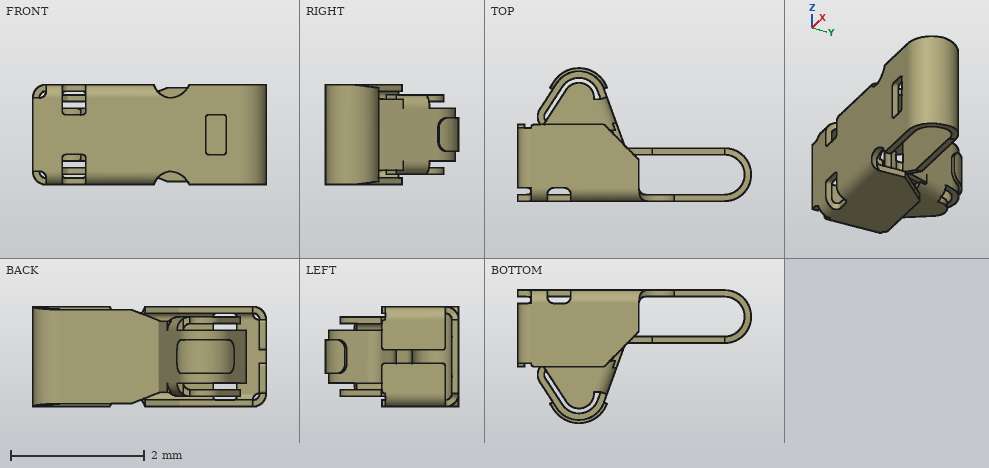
import cadquery as cq
import math

THICKNESS = 0.1
INNER_BEND = 0.098
OUTER_BEND = INNER_BEND + THICKNESS
SMALL_CORNER = 0.05
OVERCUT = 0.035

LENGTH = 3.5
HEIGHT = 2.0
HALF_WIDTH = 1.5 / 2
BEND_START = HALF_WIDTH - OUTER_BEND

WALL_HEIGHT = 1.15
WALL_END = 1.815
WALL_END_HEIGHT = 0.623
WALL_TOP_END = 1.295
TAB_HALF_GAP = 0.1
TAB_CORNER = 0.045
TAB_RELIEF_DEPTH = 0.052

SLOT_START = 0.445
SLOT_END = 0.795
SLOT_INNER = 0.298
WINDOW_START = 2.595
WINDOW_END = 2.9
WINDOW_HALF_WIDTH = 0.3
NOTCH_BOTTOM = 2.048
NOTCH_END = 2.345
NOTCH_RADIUS = 0.322
NOTCH_BEND_POINT = (1.875, 0.645)

LOOP_RADIUS = 0.4
LOOP_CENTER_X = LENGTH - LOOP_RADIUS
STRAP_HALF_WIDTH = 0.705
TAPER_START = 2.015
TAPER_SLOPE = 0.4
ARM_ROOT_HALF_WIDTH = 0.532
ARM_ROOT_TOP = 1.17
TAPER_END = TAPER_START - (STRAP_HALF_WIDTH - ARM_ROOT_HALF_WIDTH) / TAPER_SLOPE

SPRING_HALF_WIDTH = 0.395
ROOT_INNER_BEND = 0.025
ARCH_RADIUS = 0.4
ARM_TILT = 20.0
LEG_TILT = 33.0
LEG_LENGTH = 0.465
TAIL_TILT = 38.0
TAIL_LENGTH = 0.17
HOOK_TURN = 70.0
HOOK_TIP = 0.063

PAD_THICKNESS = 0.05
PAD_HALF_WIDTH = 0.252
PAD_LEG_LENGTH = 0.11
PAD_CORNER = 0.15

EAR_INNER = SPRING_HALF_WIDTH + INNER_BEND
EAR_RADIUS = 0.228
EAR_TOP_SHOULDER = 1.53
EAR_LEFT_CORNER_Y = 1.162
EAR_BOTTOM = 0.91
EAR_EDGE_TILT = 29.0
EAR_BEND_BOTTOM = 1.065
EAR_BOTTOM_CORNER = 0.085

ARCH_X = 0.917
ARCH_Y = HEIGHT - PAD_THICKNESS - ARCH_RADIUS

MIDDLE_LOOP = LOOP_RADIUS - THICKNESS / 2
MIDDLE_ARCH = ARCH_RADIUS - THICKNESS / 2
MIDDLE_BEND = INNER_BEND + THICKNESS / 2
MIDDLE_ROOT = ROOT_INNER_BEND + THICKNESS / 2
STRAP_Y = 2 * LOOP_RADIUS - THICKNESS / 2

ROOT_Y = STRAP_Y + MIDDLE_ROOT
TILT = math.radians(ARM_TILT)
CENTER_OFFSET = MIDDLE_ARCH + MIDDLE_ROOT
ARM_LENGTH = (ARCH_Y - ROOT_Y + CENTER_OFFSET * math.sin(TILT)) / math.cos(TILT)
ROOT_X = ARCH_X + CENTER_OFFSET * math.cos(TILT) + ARM_LENGTH * math.sin(TILT)
ARM_HEADING = 90 + ARM_TILT
ROOT_STEP = (MIDDLE_ROOT, ARM_HEADING - 180)


def polar(center, radius, degrees):
    angle = math.radians(degrees)
    return (center[0] + radius * math.cos(angle), center[1] + radius * math.sin(angle))


def sheet_strip(start, heading, steps, thickness, half_width, start_corner=0, end_corner=0):
    """Bent strip whose middle line is walked step by step in the XY plane.

    Each step is (length,) for a straight or (radius, turn) for an arc; a positive turn is to the left.
    The corners at either end of the strip can be rounded.
    """
    point = start
    left = [polar(point, thickness / 2, heading + 90)]
    right = [polar(point, thickness / 2, heading - 90)]
    arcs = []
    for step in steps:
        if len(step) == 1:
            point = polar(point, step[0], heading)
            arcs.append(None)
        else:
            radius, turn = step
            side = math.copysign(90, turn)
            center = polar(point, radius, heading + side)
            out = heading - side + turn / 2
            inner = polar(center, radius - thickness / 2, out)
            outer = polar(center, radius + thickness / 2, out)
            arcs.append((inner, outer) if turn > 0 else (outer, inner))
            point = polar(center, radius, heading - side + turn)
            heading += turn
        left.append(polar(point, thickness / 2, heading + 90))
        right.append(polar(point, thickness / 2, heading - 90))

    outline = cq.Workplane("XY").workplane(offset=-half_width).moveTo(*left[0])
    for arc, end in zip(arcs, left[1:]):
        outline = outline.threePointArc(arc[0], end) if arc else outline.lineTo(*end)
    outline = outline.lineTo(*right[-1])
    for arc, end in zip(reversed(arcs), reversed(right[:-1])):
        outline = outline.threePointArc(arc[1], end) if arc else outline.lineTo(*end)
    strip = outline.close().extrude(2 * half_width)

    for end, corner in ((start, start_corner), (point, end_corner)):
        for z in (-half_width, half_width):
            if corner > 0:
                strip = strip.edges(cq.selectors.NearestToPointSelector((*end, z))).fillet(corner)
    return strip


def block(x_range, y_range, z_range):
    size = [high - low for low, high in (x_range, y_range, z_range)]
    return cq.Workplane("XY").box(*size, centered=False).translate((x_range[0], y_range[0], z_range[0]))


def both_sides(shape):
    return shape.union(shape.mirror("XY"))


def channel():
    """Base and two side walls, bent up from one flat; the side bends run on to the scoops."""
    outer = block((0, NOTCH_BOTTOM), (0, WALL_HEIGHT), (-HALF_WIDTH, HALF_WIDTH))
    outer = outer.edges("|X and <Y").fillet(OUTER_BEND)
    inside = HALF_WIDTH - THICKNESS
    inner = block((0, NOTCH_BOTTOM), (THICKNESS, WALL_HEIGHT), (-inside, inside))
    inner = inner.edges("|X and <Y").fillet(INNER_BEND)
    side = (
        cq.Workplane("XY").workplane(offset=-HALF_WIDTH)
        .polyline([
            (0, 0), (NOTCH_BOTTOM, 0), (NOTCH_BOTTOM, OUTER_BEND), (WALL_END, OUTER_BEND),
            (WALL_END, WALL_END_HEIGHT), (WALL_TOP_END, WALL_HEIGHT), (0, WALL_HEIGHT),
        ])
        .close().extrude(2 * HALF_WIDTH)
    )
    side = side.edges(cq.selectors.NearestToPointSelector((WALL_TOP_END, WALL_HEIGHT, 0)))
    side = side.fillet(SMALL_CORNER)
    walls = outer.cut(inner).intersect(side)
    clear_end = block((0, OUTER_BEND), (OUTER_BEND, WALL_HEIGHT), (-HALF_WIDTH, HALF_WIDTH))
    walls = walls.cut(clear_end)
    for z in (-HALF_WIDTH, HALF_WIDTH):
        corner = (OUTER_BEND, WALL_HEIGHT, z)
        walls = walls.edges(cq.selectors.NearestToPointSelector(corner)).fillet(TAB_CORNER)
    return walls


def end_tab():
    """Tab bent inwards from the end of one wall, with its bend cut lower than its flat."""
    reach = 2 * OUTER_BEND
    outer = block((0, reach), (OUTER_BEND, WALL_HEIGHT), (TAB_HALF_GAP, HALF_WIDTH))
    outer = outer.edges("|Y and <X and >Z").fillet(OUTER_BEND)
    inner = block((THICKNESS, reach), (OUTER_BEND, WALL_HEIGHT), (TAB_HALF_GAP, HALF_WIDTH - THICKNESS))
    inner = inner.edges("|Y and <X and >Z").fillet(INNER_BEND)
    wall_space = block((OUTER_BEND, reach), (0, WALL_HEIGHT), (0, HALF_WIDTH))
    relief = block((0, OUTER_BEND), (WALL_HEIGHT - TAB_RELIEF_DEPTH, WALL_HEIGHT), (BEND_START, HALF_WIDTH))
    tab = outer.cut(inner).cut(wall_space).cut(relief)
    tab = tab.edges("|X and <Z").fillet(TAB_CORNER)
    upper_corner = (THICKNESS / 2, WALL_HEIGHT, BEND_START)
    return tab.edges(cq.selectors.NearestToPointSelector(upper_corner)).fillet(TAB_CORNER)


def base_extension():
    """Flat base between the walls and the loop."""
    return block((NOTCH_BOTTOM, LOOP_CENTER_X), (0, THICKNESS), (-HALF_WIDTH, HALF_WIDTH))


def corner_relief():
    """Clearance where the base, a wall and an end tab would meet."""
    plan = block((-OVERCUT, OUTER_BEND), (-OVERCUT, OUTER_BEND), (BEND_START, HALF_WIDTH + OVERCUT))
    rounded_plan = plan.edges("|Y and >X and <Z").fillet(INNER_BEND)
    rounded_side = plan.edges("|Z and >X and >Y").fillet(SMALL_CORNER)
    return rounded_plan.intersect(rounded_side)


def side_slot():
    """Opening through the base and the side bend."""
    slot = block((SLOT_START, SLOT_END), (-OVERCUT, OUTER_BEND), (SLOT_INNER, HALF_WIDTH + OVERCUT))
    rounded_plan = slot.edges("|Y and <Z").fillet(SMALL_CORNER)
    rounded_side = slot.edges("|Z and >Y").fillet(INNER_BEND)
    return rounded_plan.intersect(rounded_side)


def base_notch():
    """Scoop between the end of a side bend and the full-width base."""
    rise = HALF_WIDTH - BEND_START
    reach = NOTCH_END - NOTCH_BOTTOM
    half_angle = math.atan2(rise, reach)
    center = (NOTCH_BOTTOM, BEND_START + NOTCH_RADIUS)
    scoop = (
        cq.Workplane("XZ").moveTo(WALL_END, HALF_WIDTH)
        .threePointArc(NOTCH_BEND_POINT, (NOTCH_BOTTOM, BEND_START))
        .threePointArc(polar(center, NOTCH_RADIUS, -90 + math.degrees(half_angle)), (NOTCH_END, HALF_WIDTH))
        .close().extrude(-OUTER_BEND)
    )
    bend_inside = block((WALL_END, NOTCH_BOTTOM), (THICKNESS, WALL_HEIGHT), (BEND_START, HALF_WIDTH))
    return scoop.union(bend_inside.edges("|Z and <X and <Y").fillet(INNER_BEND))


def base_window():
    """Rounded rectangular opening near the loop."""
    window = block(
        (WINDOW_START, WINDOW_END), (-OVERCUT, THICKNESS + OVERCUT), (-WINDOW_HALF_WIDTH, WINDOW_HALF_WIDTH)
    )
    return window.edges("|Y").fillet(SMALL_CORNER)


def loop():
    """U-shaped loop that narrows from its outermost point to the strap."""
    turn = sheet_strip(
        (LOOP_CENTER_X, THICKNESS / 2), 0, [(MIDDLE_LOOP, 180)], THICKNESS, HALF_WIDTH
    )
    half_outline = [
        (0, HALF_WIDTH), (LOOP_RADIUS, HALF_WIDTH), (2 * LOOP_RADIUS, STRAP_HALF_WIDTH),
    ]
    outline = half_outline + [(y, -z) for y, z in reversed(half_outline)]
    return turn.intersect(cq.Workplane("YZ").polyline(outline).close().extrude(LENGTH))


def strap():
    """Strap from the loop to the foot of the arm, tapering towards the arm."""
    strip = sheet_strip(
        (LOOP_CENTER_X, STRAP_Y), 180,
        [(LOOP_CENTER_X - ROOT_X,), ROOT_STEP, (ARM_LENGTH / 2,)], THICKNESS, HALF_WIDTH,
    )
    half_plan = [
        (LOOP_CENTER_X, STRAP_HALF_WIDTH), (TAPER_START, STRAP_HALF_WIDTH),
        (TAPER_END, ARM_ROOT_HALF_WIDTH), (ARCH_X, ARM_ROOT_HALF_WIDTH),
    ]
    plan = half_plan + [(x, -z) for x, z in reversed(half_plan)]
    plan = cq.Workplane("XZ").polyline(plan).close().extrude(-ARM_ROOT_TOP)
    return strip.intersect(plan)


def spring():
    """Arm, arch, free leg and hooked tail, with rounded tail corners."""
    strip = sheet_strip(
        polar((ARCH_X, ARCH_Y), MIDDLE_ARCH, ARM_TILT), ARM_HEADING,
        [
            (MIDDLE_ARCH, 180 - ARM_TILT - LEG_TILT),
            (LEG_LENGTH,),
            (MIDDLE_BEND, LEG_TILT + TAIL_TILT),
            (TAIL_LENGTH,),
            (MIDDLE_BEND, HOOK_TURN),
            (HOOK_TIP,),
        ],
        THICKNESS, SPRING_HALF_WIDTH, end_corner=SMALL_CORNER,
    )
    arm = sheet_strip(
        polar((ARCH_X, ARCH_Y), MIDDLE_ARCH, ARM_TILT), ARM_HEADING - 180,
        [(ARM_LENGTH,)], THICKNESS, SPRING_HALF_WIDTH,
    )
    return strip.union(arm)


def ear():
    """Plate beside the arch, bent off the edge of the arm."""
    center = (ARCH_X, ARCH_Y)
    left_tangent = polar(center, EAR_RADIUS, 180 - LEG_TILT)
    drop = left_tangent[1] - EAR_LEFT_CORNER_Y
    left_corner = (left_tangent[0] - drop * math.tan(math.radians(LEG_TILT)), EAR_LEFT_CORNER_Y)
    edge_run = (EAR_LEFT_CORNER_Y - EAR_BOTTOM) * math.tan(math.radians(EAR_EDGE_TILT))
    bottom_corner = (left_corner[0] + edge_run, EAR_BOTTOM)

    arm_face = polar(center, ARCH_RADIUS, ARM_TILT)

    def arm_x(depth, y):
        """X of the line that lies the given depth behind the outer face of the arm."""
        return arm_face[0] - depth / math.cos(TILT) + (arm_face[1] - y) * math.tan(TILT)

    plate = (
        cq.Workplane("XY").workplane(offset=EAR_INNER)
        .moveTo(*left_corner).lineTo(*left_tangent)
        .threePointArc((ARCH_X, ARCH_Y + EAR_RADIUS), (ARCH_X + EAR_RADIUS, ARCH_Y))
        .lineTo(ARCH_X + EAR_RADIUS, EAR_TOP_SHOULDER)
        .lineTo(arm_x(OUTER_BEND, EAR_TOP_SHOULDER), EAR_TOP_SHOULDER)
        .lineTo(arm_x(OUTER_BEND, EAR_BOTTOM), EAR_BOTTOM)
        .lineTo(*bottom_corner).close().extrude(THICKNESS)
    )
    plate = plate.edges(cq.selectors.NearestToPointSelector((*bottom_corner, EAR_INNER + THICKNESS / 2)))
    plate = plate.fillet(EAR_BOTTOM_CORNER)

    bend_plane = cq.Plane(
        origin=(*arm_face, SPRING_HALF_WIDTH),
        xDir=(-math.cos(TILT), -math.sin(TILT), 0),
        normal=(-math.sin(TILT), math.cos(TILT), 0),
    )
    diagonal = math.sqrt(0.5)
    bend = (
        cq.Workplane(bend_plane)
        .threePointArc((OUTER_BEND * (1 - diagonal), OUTER_BEND * diagonal), (OUTER_BEND, OUTER_BEND))
        .lineTo(OUTER_BEND, INNER_BEND)
        .threePointArc((OUTER_BEND - INNER_BEND * diagonal, INNER_BEND * diagonal), (THICKNESS, 0))
        .close().extrude(-ARM_LENGTH)
    )
    inner_top = (arm_x(THICKNESS, EAR_TOP_SHOULDER), EAR_TOP_SHOULDER)
    limits = (
        cq.Workplane("XY")
        .polyline([
            (0, EAR_BEND_BOTTOM), (0, EAR_TOP_SHOULDER), inner_top,
            polar(inner_top, 2 * THICKNESS, ARM_TILT), (LENGTH, EAR_BEND_BOTTOM),
        ])
        .close().extrude(HALF_WIDTH)
    )
    return plate.union(bend.intersect(limits))


def contact_pad():
    """Thin pad over the outside of the arch, with rounded ends."""
    radius = ARCH_RADIUS + PAD_THICKNESS / 2
    return sheet_strip(
        polar((ARCH_X, ARCH_Y), radius, ARM_TILT), ARM_HEADING,
        [(radius, 180 - ARM_TILT - LEG_TILT), (PAD_LEG_LENGTH,)], PAD_THICKNESS, PAD_HALF_WIDTH,
        start_corner=PAD_CORNER, end_corner=PAD_CORNER,
    )


def clip():
    """The whole sheet-metal clip as one solid."""
    body = channel().union(both_sides(end_tab())).union(base_extension())
    for opening in (corner_relief(), side_slot(), base_notch()):
        body = body.cut(both_sides(opening))
    body = body.cut(base_window())
    return body.union(loop()).union(strap()).union(spring()).union(both_sides(ear()))


spring_clip = clip()
pad = contact_pad()

result = cq.Compound.makeCompound([spring_clip.solids().val(), pad.solids().val()])